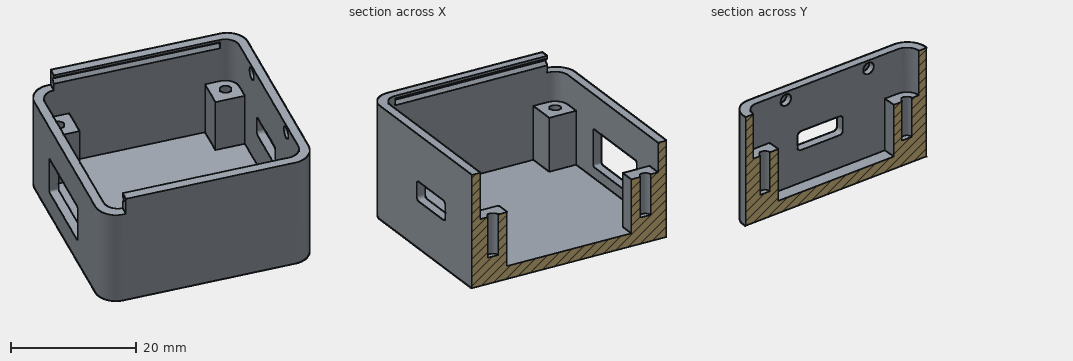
import cadquery as cq

SIDE = 36.2
HEIGHT = 20.3
OUTER_RADIUS = 3.5
WALL = 1.6
FLOOR = 2.4
INNER_RADIUS = 2.4

LID_DEPTH = 3.0
LID_SETBACK = WALL + INNER_RADIUS

GROOVE_DEPTH = 0.6
GROOVE_HALF_HEIGHT = 0.6
GROOVE_BELOW_RIM = 1.1

DIMPLE_DIAMETER = 2.1
DIMPLE_SPACING = 16.5
DIMPLE_BELOW_RIM = 1.5
DIMPLE_DEPTH = 1.2

POST_SIZE = 5.0
POST_HEIGHT = 9.63
SCREW_DIAMETER = 1.9
SCREW_SPACING = 28.35
SCREW_DEPTH = 7.25

WINDOW_WIDTH = 13.7
WINDOW_HEIGHT = 6.77
WINDOW_CENTER_X = -0.65
WINDOW_BOTTOM = 4.35
WINDOW_RADIUS = 0.4

SLOT_WIDTH = 9.05
SLOT_HEIGHT = 3.5
SLOT_CENTER_X = -1.38
SLOT_BOTTOM = 8.45
SLOT_RADIUS = 0.72

HALF = SIDE / 2
INNER_HALF = HALF - WALL
WALL_MIDDLE = HALF - WALL / 2

OVERCUT = 0.35


def rounded_block(side, height, radius, base):
    """Upright square block with rounded vertical edges, standing at Z = base."""
    block = cq.Workplane("XY").workplane(offset=base).rect(side, side).extrude(height)
    return block.edges("|Z").fillet(radius)


def corner_posts(cavity):
    """Four square posts, trimmed to the rounded corners of the cavity."""
    spacing = 2 * INNER_HALF - POST_SIZE
    posts = (
        cq.Workplane("XY")
        .workplane(offset=FLOOR)
        .rect(spacing, spacing, forConstruction=True)
        .vertices()
        .rect(POST_SIZE, POST_SIZE)
        .extrude(POST_HEIGHT)
    )
    return posts.intersect(cavity)


def screw_holes():
    """Blind holes from the top of each post."""
    return (
        cq.Workplane("XY")
        .workplane(offset=FLOOR + POST_HEIGHT)
        .rect(SCREW_SPACING, SCREW_SPACING, forConstruction=True)
        .vertices()
        .circle(SCREW_DIAMETER / 2)
        .extrude(-SCREW_DEPTH)
    )


def lid_opening():
    """Block removed from the top of the front end."""
    block = cq.Workplane("XY").box(SIDE, LID_SETBACK, LID_DEPTH, centered=(True, False, False))
    return block.translate((0, -HALF, HEIGHT - LID_DEPTH))


def lid_groove(side):
    """V-groove along one side wall; side is -1 for left and 1 for right."""
    middle = HEIGHT - GROOVE_BELOW_RIM
    face = side * INNER_HALF
    inside = face - side * OVERCUT
    return (
        cq.Workplane("XZ", origin=(0, -HALF + LID_SETBACK, 0))
        .moveTo(inside, middle - GROOVE_HALF_HEIGHT)
        .lineTo(face, middle - GROOVE_HALF_HEIGHT)
        .lineTo(face + side * GROOVE_DEPTH, middle)
        .lineTo(face, middle + GROOVE_HALF_HEIGHT)
        .lineTo(inside, middle + GROOVE_HALF_HEIGHT)
        .close()
        .extrude(-(SIDE - 2 * LID_SETBACK))
    )


def wall_dimples():
    """Two blind round recesses in the inner face of the back wall."""
    return (
        cq.Workplane("XZ", origin=(0, INNER_HALF, HEIGHT - DIMPLE_BELOW_RIM))
        .rarray(DIMPLE_SPACING, 0.35, 2, 1)
        .circle(DIMPLE_DIAMETER / 2)
        .extrude(-DIMPLE_DEPTH)
    )


def wall_opening(width, height, radius, center_x, bottom, center_y):
    """Cutter through a front or back wall, with rounded corners."""
    cutter = cq.Workplane("XY").box(width, WALL + 2 * OVERCUT, height).edges("|Y").fillet(radius)
    return cutter.translate((center_x, center_y, bottom + height / 2))


cavity = rounded_block(2 * INNER_HALF, HEIGHT - FLOOR, INNER_RADIUS, FLOOR)
result = rounded_block(SIDE, HEIGHT, OUTER_RADIUS, 0).cut(cavity)
result = result.union(corner_posts(cavity)).cut(screw_holes())

result = result.cut(lid_opening()).cut(wall_dimples())
for wall_side in (-1, 1):
    result = result.cut(lid_groove(wall_side))

window = wall_opening(WINDOW_WIDTH, WINDOW_HEIGHT, WINDOW_RADIUS, WINDOW_CENTER_X, WINDOW_BOTTOM, -WALL_MIDDLE)
slot = wall_opening(SLOT_WIDTH, SLOT_HEIGHT, SLOT_RADIUS, SLOT_CENTER_X, SLOT_BOTTOM, WALL_MIDDLE)
result = result.cut(window).cut(slot)